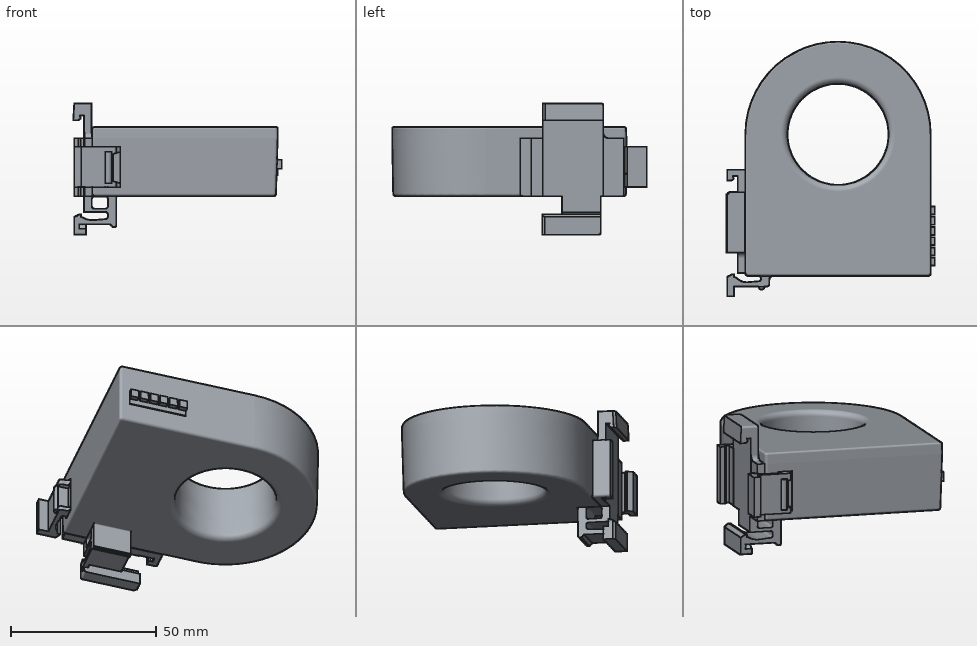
import cadquery as cq
import math


body_radius = 31.9
body_front = -48.8
body_height = 23.9
side_draft = 0.6
front_draft = 0.2
corner_round = 1.0
top_round = 0.7
waist_radius = 17.4
mouth_radius = 17.55
mouth_round = 2.1

side_x = -31.6
hook_back_x = -32.1
web_x = -34.8
plate_x = -34.6
plate_top = 20.0
plate_front = -47.7
web_back = -19.9
web_front = -40.8
web_round = 1.8
foot_back = -26.5
foot_front = -39.9
foot_level = -5.4

rail_x = -38.2
top_hook_x = -38.5
top_hook_level = 32.0
top_hook_depth = 4.3
back_hook_level = -12.1
back_hook_depth = 2.3
lip_height = 1.6
lip_nose_x = -35.9
lip_nose_drop = 1.0
lip_root_x = -36.15
lip_tip_x = -36.7
lip_chamfer = 0.9
lip_round = 0.8

slot_end_x = -26.6
post_x = -23.6
slot_round = 0.8
embed = 0.9
clip_shoulder_x = -36.3
clip_tooth_x = -35.8
clip_valley_x = -31.6
clip_slope = 1.0
clip_rise = 0.35
clip_knee_x = -35.3
tooth_height = 1.05
arm_thickness = 1.5
post_round = 0.9

bottom_lip_back = -19.7
bottom_apex = -6.1
bottom_underside = -9.65
bottom_tip = -13.25
bottom_leg_x = -34.05
window_top = -0.1
window_bottom = -4.2
window_left = -32.0
ridge_left = -25.8
ridge_height = 1.0
ridge_flat = 0.9
ridge_end_slope = 0.4
notch_x = -36.3
notch_floor = -11.2
notch_depth = 1.75
notch_round = 1.5

front_apex = -48.1
front_underside = -52.4
front_tip = -55.8
front_clip_bottom = 3.2
front_clip_top = 17.1
front_flare = 1.2
bottom_flare = 0.35
grip_x = -26.3
grip_radius = 1.05
grip_bottom = 4.5
grip_top = 15.3
relief_x = -24.75
relief_slope = 0.3

terminal_count = 6
terminal_pitch = 3.5
terminal_width = 2.8
terminal_first_y = -26.2
terminal_bottom = 9.5
terminal_top = 12.6
terminal_x = 33.35
pad_x = 31.85
pad_bottom = 7.3
pad_top = 12.8


def block(x0, x1, y0, y1, z0, z1):
    return cq.Workplane("XY").box(x1 - x0, y1 - y0, z1 - z0, centered=False).translate((x0, y0, z0))


def along_y(outline, y_front, y_back):
    """Extrude an XZ outline between two Y levels."""
    return outline.extrude(y_back - y_front).translate((0, y_back, 0))


def along_z(outline, z_bottom, z_top):
    """Extrude an XY outline between two Z levels."""
    return outline.extrude(z_top - z_bottom).translate((0, 0, z_bottom))


def d_wire(level, radius, centre_x, front):
    """D-shaped outline at height `level`: straight front, semicircular back."""
    return (
        cq.Workplane("XY", origin=(0, 0, level))
        .moveTo(centre_x - radius, front)
        .lineTo(centre_x - radius, 0)
        .threePointArc((centre_x, radius), (centre_x + radius, 0))
        .lineTo(centre_x + radius, front)
        .close()
        .wire()
        .val()
    )


def housing():
    """D-shaped cover and base, widest where they meet, with a waisted bore."""
    drafted_front = body_front + front_draft
    base_radius = body_radius - side_draft / 2
    floor = d_wire(0, base_radius, -side_draft / 2, drafted_front)
    joint = d_wire(plate_top, body_radius, 0, body_front)
    roof = d_wire(body_height, body_radius, 0, drafted_front)
    base = cq.Workplane(cq.Solid.makeLoft([floor, joint], True))
    cover = cq.Workplane(cq.Solid.makeLoft([joint, roof], True))
    body = base.union(cover)
    front_corners = cq.selectors.BoxSelector(
        (-body_radius - 0.9, body_front - 0.9, 0.9), (body_radius + 0.9, body_front + 0.9, body_height - 0.9)
    )
    upright_edges = body.edges(front_corners).edges("not |X")
    body = upright_edges.add(body.faces("<Z").edges()).fillet(corner_round)
    body = body.faces(">Z").edges().fillet(top_round)
    return body.cut(bore())


def bore():
    """Tool for the opening: two cones meeting at a waist, with rounded mouths."""
    inset = mouth_round * (1 - math.sqrt(0.5))
    rim = mouth_radius + mouth_round
    return (
        cq.Workplane("XZ")
        .moveTo(0, 0)
        .lineTo(rim, 0)
        .threePointArc((mouth_radius + inset, inset), (mouth_radius, mouth_round))
        .lineTo(waist_radius, body_height / 2)
        .lineTo(mouth_radius, body_height - mouth_round)
        .threePointArc((mouth_radius + inset, body_height - inset), (rim, body_height))
        .lineTo(0, body_height)
        .close()
        .revolve(360, (0, 0, 0), (0, 1, 0))
    )


def hook_outline(plane, outer_x, level, depth, root_x, root_level, back_x):
    """Hook with its back at `level`, a groove `depth` below it and a nosed lip."""
    ceiling = level - depth
    tip = ceiling - lip_height
    points = [
        (outer_x, tip),
        (rail_x, level),
        (back_x, level),
        (back_x, root_level),
        (root_x, root_level),
        (root_x, ceiling),
        (lip_root_x, ceiling),
        (lip_nose_x, ceiling - lip_nose_drop),
        (lip_tip_x, tip),
    ]
    return cq.Workplane(plane).polyline(points).close()


def clip_outline(plane, apex, underside, tip, leg_x, roof, face, flare):
    """Spring arm with a toothed lip at -X and a post at +X.

    `roof` closes the slot above the arm; `face` is the housing face that the post meets.
    """
    valley = underside + arm_thickness
    slot_floor = valley + clip_rise
    inset = slot_round * (1 - math.sqrt(0.5))
    bend = post_round * (1 - math.sqrt(0.5))
    flare_inset = flare * (1 - math.sqrt(0.5))
    tooth_root = apex - tooth_height
    return (
        cq.Workplane(plane)
        .moveTo(rail_x, apex - clip_slope)
        .lineTo(clip_shoulder_x, apex)
        .lineTo(clip_tooth_x, apex)
        .lineTo(clip_tooth_x, tooth_root)
        .lineTo(clip_knee_x, tooth_root)
        .spline([(clip_valley_x, valley)], tangents=[(1, -0.8), (1, 0)], includeCurrent=True)
        .lineTo(slot_end_x - slot_round, slot_floor)
        .threePointArc((slot_end_x - inset, slot_floor + inset), (slot_end_x, slot_floor + slot_round))
        .lineTo(slot_end_x, roof - slot_round)
        .threePointArc((slot_end_x - inset, roof - inset), (slot_end_x - slot_round, roof))
        .lineTo(slot_end_x - slot_round, face + embed)
        .lineTo(post_x + flare, face + embed)
        .lineTo(post_x + flare, face)
        .threePointArc((post_x + flare_inset, face - flare_inset), (post_x, face - flare))
        .lineTo(post_x, underside + post_round)
        .threePointArc((post_x - bend, underside + bend), (post_x - post_round, underside))
        .lineTo(leg_x, underside)
        .lineTo(leg_x, tip)
        .lineTo(rail_x, tip)
        .close()
    )


def outer_corner(level):
    """Selector of the upright lip edge at -X on the +Y end, at the given Y."""
    return cq.selectors.BoxSelector((top_hook_x - 0.9, level - 0.4, -87.75), (rail_x + 0.3, level + 0.4, 87.75))


def central_web():
    """Upright web behind the rail with its upper hook and the fillet to the side plate."""
    hook = along_y(
        hook_outline("XZ", top_hook_x, top_hook_level, top_hook_depth, web_x, plate_top, hook_back_x),
        web_front,
        web_back,
    )
    hook = hook.edges(outer_corner(web_back)).chamfer(lip_chamfer)
    hook = hook.faces(">Z").edges("<Y").fillet(lip_round)
    web_top = top_hook_level - top_hook_depth - lip_height
    web = block(web_x, hook_back_x, web_front, web_back, 0, web_top)
    web = web.union(block(web_x, side_x, web_front, web_back, 0, plate_top))
    web_fillet = (
        cq.Workplane("YZ")
        .moveTo(web_front, plate_top)
        .lineTo(web_front, plate_top + web_round)
        .radiusArc((web_front - web_round, plate_top), web_round)
        .close()
        .extrude(side_x - plate_x)
        .translate((plate_x, 0, 0))
    )
    return hook.union(web).union(web_fillet)


def side_plate():
    """Plate along the -X side with the hook at its +Y end."""
    plate = block(plate_x, side_x, plate_front, web_back, 0, plate_top)
    hook = along_z(
        hook_outline("XY", rail_x, back_hook_level, back_hook_depth, plate_x, web_back, side_x),
        0,
        plate_top,
    )
    hook = hook.faces("<Z").edges(">Y").fillet(lip_round)
    return plate.union(hook)


def bottom_clip():
    """Clip under the housing: foot with a rounded window, arm, lip, ridge and notched leg."""
    arm = along_y(
        clip_outline(
            "XZ",
            bottom_apex,
            bottom_underside,
            bottom_underside - embed,
            clip_tooth_x,
            foot_level,
            0,
            bottom_flare,
        ),
        foot_front,
        foot_back,
    )
    foot = block(web_x, post_x, foot_front, foot_back, foot_level, embed)
    window = block(
        window_left, slot_end_x, foot_front, foot_back, window_bottom, window_top
    ).edges("|Y").fillet(slot_round)
    ridge_base = bottom_underside + post_round
    ridge_tip = bottom_underside - ridge_height
    ridge = along_y(
        cq.Workplane("XZ")
        .polyline(
            [
                (ridge_left, ridge_base),
                (ridge_left, bottom_underside),
                (ridge_left + ridge_height, ridge_tip),
                (ridge_left + ridge_height + ridge_flat, ridge_tip),
                (post_x, ridge_tip + ridge_end_slope),
                (post_x, ridge_base),
            ]
        )
        .close(),
        foot_front,
        foot_back,
    )
    lip = along_y(
        cq.Workplane("XZ")
        .polyline(
            [
                (rail_x, bottom_apex - clip_slope),
                (clip_shoulder_x, bottom_apex),
                (clip_tooth_x, bottom_apex),
                (clip_tooth_x, bottom_underside + embed),
                (bottom_leg_x, bottom_underside + embed),
                (bottom_leg_x, bottom_tip),
                (rail_x, bottom_tip),
            ]
        )
        .close(),
        foot_front,
        bottom_lip_back,
    )
    lip = lip.edges(outer_corner(bottom_lip_back)).edges("|Z").chamfer(lip_chamfer)
    lip = lip.faces("<Z").edges("<Y").fillet(lip_round)
    notch = block(
        notch_x, bottom_leg_x, foot_front, foot_front + notch_depth, notch_floor, bottom_underside
    ).edges(">Y and <Z").fillet(notch_round)
    clip = arm.union(foot).cut(window).union(lip)
    return clip.cut(notch).union(ridge)


def front_clip():
    """Clip on the front face, with a grip rib and a relieved middle stretch of the post."""
    clip = along_z(
        clip_outline(
            "XY", front_apex, front_underside, front_tip, clip_tooth_x, body_front, body_front, front_flare
        ),
        front_clip_bottom,
        front_clip_top,
    )
    grip = along_z(
        cq.Workplane("XY").center(grip_x, front_underside).circle(grip_radius), grip_bottom, grip_top
    )
    reach = post_x + front_flare - relief_x
    rise = reach * relief_slope
    relief = (
        cq.Workplane("XZ")
        .polyline(
            [
                (relief_x, grip_bottom + rise),
                (relief_x + reach, grip_bottom),
                (relief_x + reach, grip_top),
                (relief_x, grip_top - rise),
            ]
        )
        .close()
        .extrude(body_front - front_tip)
        .translate((0, body_front, 0))
    )
    return clip.cut(relief).union(grip)


def terminals():
    """Row of terminal tabs on a low pad."""
    last_y = terminal_first_y - (terminal_count - 1) * terminal_pitch
    half = terminal_width / 2
    row = block(-side_x - embed, pad_x, last_y - half, terminal_first_y + half, pad_bottom, pad_top)
    for index in range(terminal_count):
        y = terminal_first_y - index * terminal_pitch
        row = row.union(
            block(-side_x - embed, terminal_x, y - half, y + half, terminal_bottom, terminal_top)
        )
    return row


result = (
    housing()
    .union(central_web())
    .union(side_plate())
    .union(bottom_clip())
    .union(front_clip())
    .union(terminals())
)